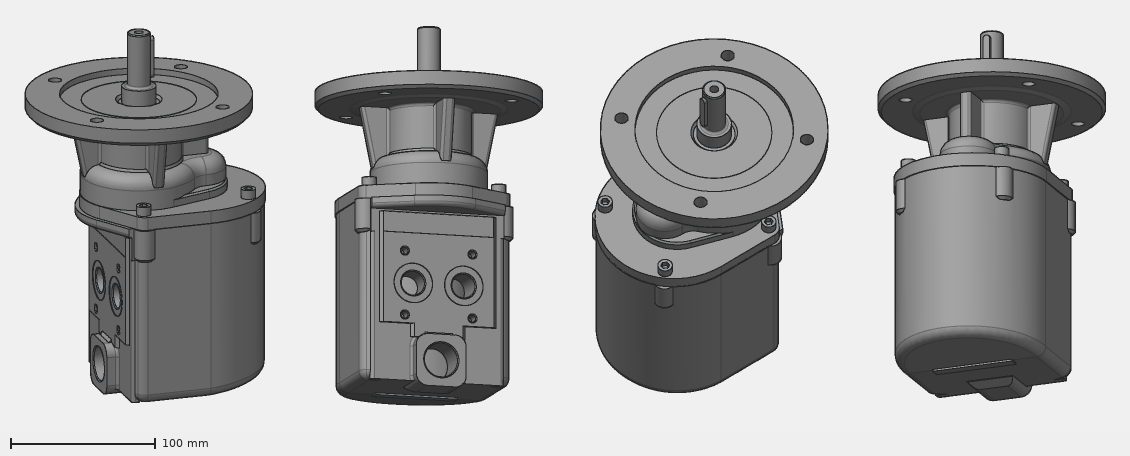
import cadquery as cq
import math


HOUSING_BOTTOM = 4.5
COLUMN_BOTTOM = 108.5
LIP_BOTTOM = 124.7
COVER_BOTTOM = 132.0
COVER_TOP = 141.2
SHOULDER_TOP = 165.8
FLANGE_BOTTOM = 201.1
FLANGE_TOP = 213.3
COLLAR_TOP = 219.0
SHAFT_TOP = 258.2
OVERLAP = 1.3

SHAFT_R = 16.0 / 2
COLLAR_R = 24.0 / 2
SHAFT_ROOT_FILLET = 1.8
SHAFT_END_CHAMFER = 0.8
CENTRE_HOLE_R = 6.0 / 2
CENTRE_HOLE_DEPTH = 10.3
KEY_WIDTH = 5.0
KEY_OUTER_Y = 10.3
KEY_BOTTOM = 224.5
KEY_LENGTH = 30.0

FLANGE_R = 158.0 / 2
FLANGE_CHAMFER = 2.3
RECESS_R = 110.0 / 2
RECESS_DEPTH = 4.5
RAISED_DISC_R = 80.0 / 2
RAISED_DISC_HEIGHT = 0.3
SEAL_TOP_R = 32.3 / 2
SEAL_FLOOR_R = 29.0 / 2
SEAL_DEPTH = 1.8
FLANGE_HOLE_D = 9.0
FLANGE_HOLE_SPACING = 92.0
UNDERSIDE_BOSS_HEIGHT = 1.3

BELL_R = 40.8
SHOULDER_FILLET = 10.0
NECK_R = 30.0
NECK_FILLET = 2.0
RIB_WIDTH = 8.3
RIB_EDGE_FILLET = 2.0
RIB_ROOT_FILLET = 2.0
SIDE_RIB_Y = 1.0
RIB_TOP_REACH = 49.8
RIB_FOOT_Z = 157.2
LOBE_R = 40.0 / 2
LOBE_Y = 42.5
LOBE_JOINT_FILLET = 13.0
WEB_R = 30.7
WEB_Y = 32.3
WEB_HEIGHT = 6.5
WEB_CHAMFER = 1.3

REAR_ARC_Y = 34.5
COVER_HALF_WIDTH = 55.0
HOUSING_INSET = 0.8
COVER_NOSE_R = 41.3
COVER_CORNER_R = 7.7
NOSE_ANGLE = 30.0
LIP_OVERHANG = 3.0
LIP_FILLET = 3.0
HOUSING_FRONT_Y = -20.1
FLOOR_RISE = 4.1
HOUSING_FLOOR_FILLET = 6.7
RIDGE_LENGTH = 59.5
RIDGE_WIDTH = 7.7
RIDGE_Y = 32.3
RIDGE_DROP = 1.3

FRONT_SCREW = (47.0, -12.1)
REAR_SCREW = (34.9, 68.5)
COLUMN_R = 7.5
FRONT_COLUMN = (49.5, -12.1)
REAR_COLUMN = (35.6, 69.5)
COLUMN_CHAMFER = 2.0
SCREW_HEAD_R = 10.0 / 2
SCREW_HEAD_HEIGHT = 6.5
SOCKET_CORNERS = 6.0
SOCKET_DEPTH = 4.0

PLATE_HALF_WIDTH = 48.3
PLATE_Y = -21.0
PLATE_DEPTH = 5.2
PLATE_EDGE_FILLET = 2.3
PAD_HALF_WIDTH = 42.3
PAD_Y = -23.2
TAB_HALF_WIDTH = 20.0
PAD_BOTTOM = 44.7
PAD_TOP = 123.0
PAD_CHAMFER = 2.3
PAD_STEP_Z = 108.5
PAD_STEP = 0.3
PAD_STEP_HALF_WIDTH = PAD_HALF_WIDTH - PAD_CHAMFER
PORT_X = 18.3
PORT_Z = 73.0
PORT_D = 16.8
PORT_MOUTH_D = 18.3
SPOT_FACE_D = 28.0
SPOT_FACE_DEPTH = 0.5
TAPPED_X = 24.5
TAPPED_Z = (50.3, 95.5)
TAPPED_D = 5.0
TAPPED_MOUTH_D = 6.5
TAPPED_DEPTH = 10.3
CORE_R = 41.3

BOSS_WIDTH = 36.1
BOSS_HEIGHT = 36.7
BOSS_CORNER_R = 8.0
BOSS_FRONT_Y = -29.5
BOSS_REAR_Y = 4.0
BOSS_REAR_CHAMFER = (7.7, 4.0)
BOSS_ROOT_FILLET = 2.0
FILLER_Z = 18.5
FILLER_D = 24.0
FILLER_MOUTH_D = 25.5
FILLER_DEPTH = 31.0
CORE_BOTTOM = 11.4


def cylinder(radius, bottom, top, x=0, y=0):
    return cq.Workplane("XY").workplane(offset=bottom).center(x, y).circle(radius).extrude(top - bottom)


def block(x_range, y_range, z_range):
    size = [high - low for low, high in (x_range, y_range, z_range)]
    corner = (x_range[0], y_range[0], z_range[0])
    return cq.Workplane("XY").box(*size, centered=False).translate(corner)


def front_hole(x, z, face_y, diameter, mouth_diameter, depth):
    """Cutter for a hole drilled along +Y from face_y, with a 45 degree mouth chamfer."""
    radius = diameter / 2
    mouth_radius = mouth_diameter / 2
    lead = mouth_radius - radius
    profile = [(0, 0), (mouth_radius, 0), (radius, lead), (radius, depth), (0, depth)]
    cutter = cq.Workplane("XY").polyline(profile).close().revolve(360, (0, 0), (0, 1))
    return cutter.translate((x, face_y, z))


def make_shaft():
    fillet_top = COLLAR_TOP + SHAFT_ROOT_FILLET
    tip = SHAFT_TOP - SHAFT_END_CHAMFER
    sag = SHAFT_ROOT_FILLET * (1 - math.sqrt(0.5))
    shaft = (
        cq.Workplane("XZ")
        .moveTo(0, FLANGE_BOTTOM)
        .lineTo(COLLAR_R, FLANGE_BOTTOM)
        .lineTo(COLLAR_R, COLLAR_TOP)
        .lineTo(SHAFT_R + SHAFT_ROOT_FILLET, COLLAR_TOP)
        .threePointArc((SHAFT_R + sag, COLLAR_TOP + sag), (SHAFT_R, fillet_top))
        .lineTo(SHAFT_R, tip)
        .lineTo(SHAFT_R - SHAFT_END_CHAMFER, SHAFT_TOP)
        .lineTo(0, SHAFT_TOP)
        .close()
        .revolve(360, (0, 0), (0, 1))
    )
    half = KEY_WIDTH / 2
    key = block((-half, half), (0, KEY_OUTER_Y), (KEY_BOTTOM, KEY_BOTTOM + KEY_LENGTH))
    key = key.edges("|Y").fillet(half * 0.95)
    centre_hole = cylinder(CENTRE_HOLE_R, SHAFT_TOP - CENTRE_HOLE_DEPTH, SHAFT_TOP)
    return shaft.union(key).cut(centre_hole)


def make_flange():
    flange = cylinder(FLANGE_R, FLANGE_BOTTOM, FLANGE_TOP).faces("<Z").chamfer(FLANGE_CHAMFER)
    floor = FLANGE_TOP - RECESS_DEPTH
    raised_top = floor + RAISED_DISC_HEIGHT
    recess_profile = [
        (0, floor - SEAL_DEPTH),
        (SEAL_FLOOR_R, floor - SEAL_DEPTH),
        (SEAL_TOP_R, raised_top),
        (RAISED_DISC_R, raised_top),
        (RAISED_DISC_R, floor),
        (RECESS_R, floor),
        (RECESS_R, FLANGE_TOP),
        (0, FLANGE_TOP),
    ]
    recess = cq.Workplane("XZ").polyline(recess_profile).close().revolve(360, (0, 0), (0, 1))
    holes = (
        cq.Workplane("XY")
        .workplane(offset=FLANGE_BOTTOM)
        .rect(FLANGE_HOLE_SPACING, FLANGE_HOLE_SPACING, forConstruction=True)
        .vertices()
        .circle(FLANGE_HOLE_D / 2)
        .extrude(FLANGE_TOP - FLANGE_BOTTOM)
    )
    underside = (
        cq.Workplane("XY")
        .workplane(offset=FLANGE_BOTTOM - UNDERSIDE_BOSS_HEIGHT)
        .circle(RIB_TOP_REACH)
        .workplane(offset=UNDERSIDE_BOSS_HEIGHT)
        .circle(RECESS_R)
        .loft()
    )
    return flange.cut(recess).cut(holes).union(underside)


def make_rib(foot_reach, foot_z, angle):
    """Rib standing on the bell shoulder, turned about Z from the +X side."""
    outline = [
        (0, foot_z),
        (foot_reach, foot_z),
        (RIB_TOP_REACH, FLANGE_BOTTOM),
        (0, FLANGE_BOTTOM),
    ]
    rib = cq.Workplane("XZ").polyline(outline).close().extrude(RIB_WIDTH / 2, both=True)
    rib = rib.faces(">X").edges("not |Y").fillet(RIB_EDGE_FILLET)
    return rib.rotate((0, 0, 0), (0, 0, 1), angle)


def make_bell():
    height = SHOULDER_TOP - COVER_TOP
    base = cylinder(BELL_R, COVER_TOP, SHOULDER_TOP)
    lobe = cylinder(LOBE_R, COVER_TOP, SHOULDER_TOP, y=LOBE_Y)
    bridge = block((-LOBE_R, LOBE_R), (0, LOBE_Y), (COVER_TOP, COVER_TOP + height))
    base = base.union(lobe).union(bridge)
    joint = cq.selectors.BoxSelector(
        (-BELL_R, BELL_R / 2, COVER_TOP), (BELL_R, LOBE_Y - 2.5, SHOULDER_TOP)
    )
    base = base.edges("|Z").edges(joint).fillet(LOBE_JOINT_FILLET)
    base = base.faces(">Z").edges().fillet(SHOULDER_FILLET)
    spider = cylinder(NECK_R, COVER_TOP, FLANGE_BOTTOM)
    for angle, shift in ((0, SIDE_RIB_Y), (180, SIDE_RIB_Y), (270, 0)):
        spider = spider.union(make_rib(BELL_R, RIB_FOOT_Z, angle).translate((0, shift, 0)))
    spider = spider.union(make_rib(RIB_TOP_REACH, SHOULDER_TOP - OVERLAP, 90))
    neck_zone = cq.selectors.BoxSelector(
        (-NECK_R, -NECK_R, SHOULDER_TOP), (NECK_R, NECK_R, FLANGE_BOTTOM - OVERLAP)
    )
    spider = spider.edges("|Z").edges(neck_zone).fillet(RIB_ROOT_FILLET)
    return base.union(spider).union(make_neck_flare()).union(make_web())


def make_neck_flare():
    """Neck with a concave round under the flange and a short cone down to the shoulder."""
    root = FLANGE_BOTTOM - UNDERSIDE_BOSS_HEIGHT
    sag = NECK_FILLET * (1 - math.sqrt(0.5))
    return (
        cq.Workplane("XZ")
        .moveTo(0, SHOULDER_TOP)
        .lineTo(BELL_R - SHOULDER_FILLET, SHOULDER_TOP)
        .lineTo(NECK_R, SHOULDER_TOP + NECK_FILLET)
        .lineTo(NECK_R, root - NECK_FILLET)
        .threePointArc((NECK_R + sag, root - sag), (NECK_R + NECK_FILLET, root))
        .lineTo(0, root)
        .close()
        .revolve(360, (0, 0), (0, 1))
    )


def make_web():
    """Low plate that joins the bell to the rear lobe along their common tangents."""
    sine = (BELL_R - WEB_R) / WEB_Y
    cosine = math.sqrt(1 - sine ** 2)
    web = (
        cq.Workplane("XY")
        .workplane(offset=COVER_TOP)
        .moveTo(BELL_R * cosine, BELL_R * sine)
        .lineTo(WEB_R * cosine, WEB_Y + WEB_R * sine)
        .threePointArc((0, WEB_Y + WEB_R), (-WEB_R * cosine, WEB_Y + WEB_R * sine))
        .lineTo(-BELL_R * cosine, BELL_R * sine)
        .close()
        .extrude(WEB_HEIGHT)
    )
    return web.faces(">Z").edges().chamfer(WEB_CHAMFER)


def cover_outline(margin, bottom, height):
    """Cover shape grown outward by margin: round rear, straight sides and a round nose."""
    half_width = COVER_HALF_WIDTH + margin
    nose_r = COVER_NOSE_R + margin
    corner_r = COVER_CORNER_R + margin
    sine = math.sin(math.radians(NOSE_ANGLE))
    cosine = math.cos(math.radians(NOSE_ANGLE))
    corner_x = half_width - corner_r
    nose_x = nose_r * sine
    nose_y = -nose_r * cosine
    corner_end_x = corner_x + corner_r * sine
    corner_end_y = nose_y + (corner_end_x - nose_x) * sine / cosine
    corner_y = corner_end_y + corner_r * cosine
    mid_x = corner_x + corner_r * cosine
    mid_y = corner_y - corner_r * sine
    return (
        cq.Workplane("XY")
        .workplane(offset=bottom)
        .moveTo(nose_x, nose_y)
        .lineTo(corner_end_x, corner_end_y)
        .threePointArc((mid_x, mid_y), (half_width, corner_y))
        .lineTo(half_width, REAR_ARC_Y)
        .threePointArc((0, REAR_ARC_Y + half_width), (-half_width, REAR_ARC_Y))
        .lineTo(-half_width, corner_y)
        .threePointArc((-mid_x, mid_y), (-corner_end_x, corner_end_y))
        .lineTo(-nose_x, nose_y)
        .threePointArc((0, -nose_r), (nose_x, nose_y))
        .close()
        .extrude(height)
    )


def make_cover():
    cover = cover_outline(0, COVER_BOTTOM, COVER_TOP - COVER_BOTTOM)
    lip = cover_outline(LIP_OVERHANG, LIP_BOTTOM, COVER_BOTTOM - LIP_BOTTOM)
    lip = lip.faces("<Z").edges().fillet(LIP_FILLET)
    window = block(
        (-PLATE_HALF_WIDTH, PLATE_HALF_WIDTH), (-FLANGE_R, 0), (LIP_BOTTOM, COVER_BOTTOM)
    )
    return cover.union(lip.intersect(window))


def make_housing():
    half = COVER_HALF_WIDTH - HOUSING_INSET
    rear_y = REAR_ARC_Y + half
    housing = cover_outline(-HOUSING_INSET, HOUSING_BOTTOM, COVER_BOTTOM - HOUSING_BOTTOM)
    nose = block((-half, half), (-FLANGE_R, HOUSING_FRONT_Y), (HOUSING_BOTTOM, COVER_BOTTOM))
    housing = housing.cut(nose)
    sloped_floor = (
        cq.Workplane("YZ")
        .polyline([
            (REAR_ARC_Y, HOUSING_BOTTOM),
            (rear_y, HOUSING_BOTTOM + FLOOR_RISE),
            (rear_y, HOUSING_BOTTOM),
        ])
        .close()
        .extrude(half, both=True)
    )
    housing = housing.cut(sloped_floor)
    floor_zone = cq.selectors.BoxSelector(
        (-half - 2.5, HOUSING_FRONT_Y + 2.5, 0), (half + 2.5, rear_y + 2.5, HOUSING_BOTTOM + FLOOR_RISE + 2.5)
    )
    housing = housing.edges("not(|Z or |X)").edges(floor_zone).fillet(HOUSING_FLOOR_FILLET)
    ridge = block(
        (-RIDGE_LENGTH / 2, RIDGE_LENGTH / 2),
        (RIDGE_Y - RIDGE_WIDTH / 2, RIDGE_Y + RIDGE_WIDTH / 2),
        (HOUSING_BOTTOM - RIDGE_DROP, HOUSING_BOTTOM + OVERLAP),
    )
    return housing.union(ridge)


def make_columns():
    places = [(side * x, y) for side in (-1, 1) for x, y in (FRONT_COLUMN, REAR_COLUMN)]
    columns = (
        cq.Workplane("XY").workplane(offset=COLUMN_BOTTOM).pushPoints(places)
        .circle(COLUMN_R).extrude(COVER_BOTTOM - COLUMN_BOTTOM)
    )
    return columns.faces("<Z").chamfer(COLUMN_CHAMFER)


def make_screw_heads():
    head_top = COVER_TOP + SCREW_HEAD_HEIGHT
    places = [(side * x, y) for side in (-1, 1) for x, y in (FRONT_SCREW, REAR_SCREW)]
    heads = (
        cq.Workplane("XY").workplane(offset=COVER_TOP).pushPoints(places)
        .circle(SCREW_HEAD_R).extrude(SCREW_HEAD_HEIGHT)
    )
    sockets = (
        cq.Workplane("XY").workplane(offset=head_top - SOCKET_DEPTH).pushPoints(places)
        .polygon(6, SOCKET_CORNERS).extrude(SOCKET_DEPTH)
    )
    return heads.cut(sockets)


def make_pad(half_width, bottom, top):
    """Raised strip of the port face with chamfered sides."""
    outline = [
        (-half_width, PLATE_Y),
        (PAD_CHAMFER - half_width, PAD_Y),
        (half_width - PAD_CHAMFER, PAD_Y),
        (half_width, PLATE_Y),
    ]
    return cq.Workplane("XY").workplane(offset=bottom).polyline(outline).close().extrude(top - bottom)


def make_port_face():
    plate = block(
        (-PLATE_HALF_WIDTH, PLATE_HALF_WIDTH),
        (PLATE_Y, PLATE_Y + PLATE_DEPTH),
        (HOUSING_BOTTOM, COLUMN_BOTTOM),
    )
    plate = plate.edges("|Z and <Y").fillet(PLATE_EDGE_FILLET)
    square_top = block(
        (-PLATE_HALF_WIDTH, PLATE_HALF_WIDTH),
        (PLATE_Y, PLATE_Y + PLATE_DEPTH),
        (COLUMN_BOTTOM, COVER_BOTTOM),
    )
    pad = make_pad(PAD_HALF_WIDTH, PAD_BOTTOM, PAD_TOP)
    step = block(
        (-PAD_STEP_HALF_WIDTH, PAD_STEP_HALF_WIDTH),
        (PAD_Y, PAD_Y + PAD_STEP),
        (PAD_STEP_Z, PAD_TOP),
    )
    tab = make_pad(TAB_HALF_WIDTH, BOSS_HEIGHT - OVERLAP, PAD_BOTTOM)
    face = plate.union(square_top).union(make_filler_boss())
    root_zone = cq.selectors.BoxSelector(
        (-BOSS_WIDTH / 2 - 0.3, PLATE_Y - 0.3, HOUSING_BOTTOM + 0.3),
        (BOSS_WIDTH / 2 + 0.3, PLATE_Y + 0.3, BOSS_HEIGHT + 0.3),
    )
    face = face.edges(root_zone).fillet(BOSS_ROOT_FILLET)
    lintel = (
        cq.Workplane("YZ")
        .polyline([
            (PAD_Y + OVERLAP, BOSS_HEIGHT - OVERLAP),
            (PAD_Y - BOSS_ROOT_FILLET, BOSS_HEIGHT - OVERLAP),
            (PAD_Y - BOSS_ROOT_FILLET, BOSS_HEIGHT),
            (PAD_Y, BOSS_HEIGHT + BOSS_ROOT_FILLET),
            (PAD_Y + OVERLAP, BOSS_HEIGHT + BOSS_ROOT_FILLET),
        ])
        .close()
        .extrude(BOSS_WIDTH / 2 - BOSS_CORNER_R, both=True)
    )
    return face.union(pad.cut(step)).union(tab).union(lintel)


def make_filler_boss():
    run, rise = BOSS_REAR_CHAMFER
    front = (
        cq.Workplane("XZ", origin=(0, BOSS_REAR_Y, BOSS_HEIGHT / 2))
        .rect(BOSS_WIDTH, BOSS_HEIGHT)
        .extrude(BOSS_REAR_Y - BOSS_FRONT_Y)
        .edges("|Y")
        .fillet(BOSS_CORNER_R)
    )
    side = (
        cq.Workplane("YZ")
        .polyline([
            (BOSS_FRONT_Y, 0),
            (BOSS_REAR_Y - run, 0),
            (BOSS_REAR_Y, rise),
            (BOSS_REAR_Y, BOSS_HEIGHT),
            (BOSS_FRONT_Y, BOSS_HEIGHT),
        ])
        .close()
        .extrude(BOSS_WIDTH, both=True)
    )
    return front.intersect(side)


def port_cutters():
    """Ports and filler bore stop at the upright round core inside; tapped holes are blind."""
    cutters = front_hole(0, FILLER_Z, BOSS_FRONT_Y, FILLER_D, FILLER_MOUTH_D, FILLER_DEPTH)
    for side in (-1, 1):
        spot_floor = PAD_Y + SPOT_FACE_DEPTH
        port = front_hole(side * PORT_X, PORT_Z, spot_floor, PORT_D, PORT_MOUTH_D, CORE_R)
        spot = (
            cq.Workplane("XZ", origin=(side * PORT_X, PAD_Y, PORT_Z))
            .circle(SPOT_FACE_D / 2)
            .extrude(-SPOT_FACE_DEPTH)
        )
        cutters = cutters.union(port).union(spot)
    core = cylinder(CORE_R, CORE_BOTTOM, COVER_BOTTOM, y=REAR_ARC_Y)
    cutters = cutters.cut(core)
    for side in (-1, 1):
        for z in TAPPED_Z:
            tapped = front_hole(side * TAPPED_X, z, PAD_Y, TAPPED_D, TAPPED_MOUTH_D, TAPPED_DEPTH)
            cutters = cutters.union(tapped)
    return cutters


result = (
    make_housing()
    .union(make_columns())
    .union(make_port_face())
    .union(make_cover())
    .cut(port_cutters())
    .union(make_screw_heads())
    .union(make_bell())
    .union(make_flange())
    .union(make_shaft())
)